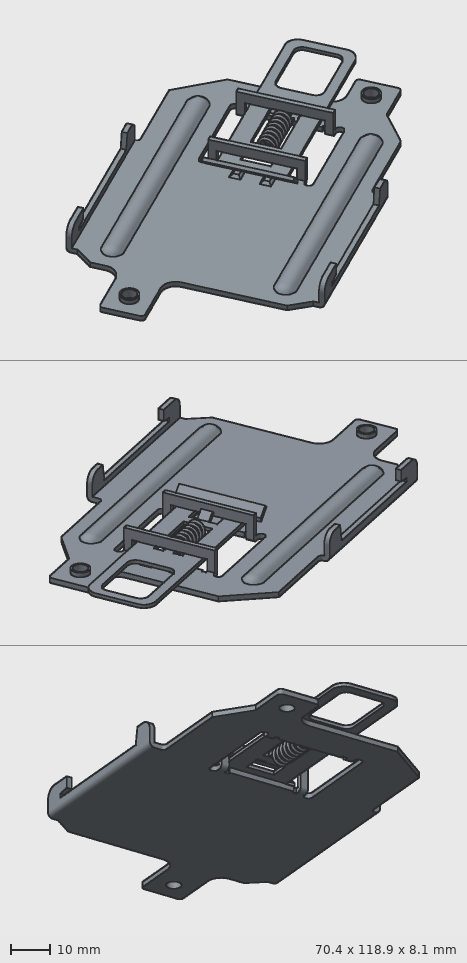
import cadquery as cq
import math

overall_length = 118.9
overall_width = 70.4
overall_height = 8.1
sheet = 1.5

plate_left = -32.5
plate_right = 30.7
plate_bottom = 16.8
plate_top = 100.6
top_chamfer_y = 91.3
top_chamfer_left_x = -19.9
bottom_chamfer_left_x = -27.2
bottom_chamfer_right_x = 26.4

flange_start = 20.7
flange_end = 68.7
flange_corner_radius = 3.1
flange_rail_height = 3.2
flange_shoulder_radius = 1.1
hook_tip_y = 29.6
hook_root_y = 26.5
hook_tip_z = 4.8
hook_root_z = 4.3
stop_top_y = 62.9
stop_root_y = 62.0

tab_width = 12.2
lower_tab_x = -12.7
upper_tab_x = 17.4
upper_tab_end = 112.0
tab_hole_inset = 6.1
tab_corner_radius = 1.1
tab_root_radius = 4.2
boss_diameter = 5.1
boss_hole_diameter = 4.0
boss_height = 1.3

rib_x = 23.5
rib_width = 6.2
rib_height = 1.5
rib_crest_width = 0.4
rib_flank_angle = 40
rib_start = 20.7
rib_end = 91.3

strap_width = 26.4
strap_thickness = 1.4
strap_leg = 2.3
strap_bar_bottom = 5.0
strap_bend_radius = 1.2
window_front = 67.3
window_back = 90.0
relief_width = 2.4
relief_overrun = 1.5
notch_width = 1.2
notch_depth = 0.6

bump_x = 4.2
bump_width = 3.1
bump_length = 4.0
bump_height = 0.7
bump_gap = 1.1

latch_width = 19.1
latch_thickness = 1.1
latch_bottom = 3.6
latch_front = 63.6
latch_corner_radius = 3.6
finger_hole_width = 13.3
finger_hole_start = 98.1
finger_hole_end = 116.1
finger_hole_radius = 2.4
slot_width = 8.3
spring_slot_start = 74.3
spring_slot_end = 90.6
tongue_slot_start = 66.5
tongue_slot_end = 71.6
prong_width = 2.9
prong_length = 7.5
tongue_width = 3.3
tongue_rise = 2.0
lip_width = 25.0
lip_rise = 2.5
bend_angle = 45

spring_outer_diameter = 5.5
wire_diameter = 0.8
spring_turns = 8
spring_axis_z = 3.7

latch_top = latch_bottom + latch_thickness


def box(x0, x1, y0, y1, z0, z1):
    """Axis-aligned block between two opposite corners."""
    return cq.Workplane("XY").box(x1 - x0, y1 - y0, z1 - z0, centered=False).translate((x0, y0, z0))


def mounting_tab(x, y0, y1, rounded_end):
    """Flat ear whose free end has rounded corners."""
    tab = box(x - tab_width / 2, x + tab_width / 2, y0, y1, 0, sheet)
    return tab.edges("|Z").edges(rounded_end).fillet(tab_corner_radius)


def tab_root_fillet(x, y, side_x, side_y):
    """Concave fillet where a tab side (at x) meets a plate edge (at y)."""
    r = tab_root_radius
    middle = r * (1 - math.sqrt(0.5))
    return (
        cq.Workplane("XY")
        .moveTo(x, y)
        .lineTo(x + side_x * r, y)
        .threePointArc((x + side_x * middle, y + side_y * middle), (x, y + side_y * r))
        .close()
        .extrude(sheet)
    )


def flat_plate():
    """Flat sheet with its chamfered outline and the two mounting tabs."""
    half = overall_width / 2
    upper_tab_right = upper_tab_x + tab_width / 2
    outline = [
        (bottom_chamfer_left_x, plate_bottom),
        (bottom_chamfer_right_x, plate_bottom),
        (half - 2 * sheet, flange_start),
        (half - sheet, flange_start),
        (half - sheet, flange_end),
        (plate_right, flange_end),
        (plate_right, top_chamfer_y),
        (upper_tab_right, plate_top),
        (top_chamfer_left_x, plate_top),
        (plate_left, top_chamfer_y),
        (plate_left, flange_end),
        (sheet - half, flange_end),
        (sheet - half, flange_start),
        (2 * sheet - half, flange_start),
    ]
    plate = cq.Workplane("XY").polyline(outline).close().extrude(sheet)
    for x in (plate_left, plate_right):
        corner = cq.selectors.NearestToPointSelector((x, flange_end, sheet / 2))
        plate = plate.edges("|Z").edges(corner).fillet(flange_shoulder_radius)
    plate = plate.union(mounting_tab(lower_tab_x, 0, plate_bottom, "<Y"))
    plate = plate.union(mounting_tab(upper_tab_x, top_chamfer_y, upper_tab_end, ">Y"))
    for side in (-1, 1):
        plate = plate.union(tab_root_fillet(lower_tab_x + side * tab_width / 2, plate_bottom, side, -1))
    return plate.union(tab_root_fillet(upper_tab_x - tab_width / 2, plate_top, -1, 1))


def side_flange(side):
    """Upright flange with a hook at one end and a stop at the other; the bend is rounded outside."""
    outer = overall_width / 2
    profile = [
        (flange_start, 0),
        (flange_end, 0),
        (flange_end, overall_height),
        (stop_top_y, overall_height),
        (stop_root_y, flange_rail_height),
        (hook_root_y, flange_rail_height),
        (hook_root_y, hook_root_z),
        (hook_tip_y, hook_tip_z),
        (hook_tip_y, overall_height),
        (flange_start, overall_height),
    ]
    flange = cq.Workplane("YZ").polyline(profile).close().extrude(sheet).translate((outer - sheet, 0, 0))
    for y in (flange_start, flange_end):
        corner = cq.selectors.NearestToPointSelector((outer - sheet / 2, y, overall_height))
        flange = flange.edges("|X").edges(corner).fillet(flange_corner_radius)
    flange = flange.edges("|Y and >X and <Z").fillet(sheet * 0.98)
    return flange if side > 0 else flange.mirror("YZ")


def rib_section():
    """Rib section standing on Z = 0: sloping flanks, tangent shoulders and a narrow flat crest."""
    half = rib_width / 2
    crest = rib_crest_width / 2
    top = sheet + rib_height
    slope = math.radians(rib_flank_angle)
    shoulder_x = (half * math.tan(slope) - crest * math.tan(slope / 2) - rib_height) / (
        math.tan(slope) - math.tan(slope / 2)
    )
    shoulder_z = sheet + (half - shoulder_x) * math.tan(slope)
    radius = (shoulder_x - crest) / math.sin(slope)
    middle_x = crest + radius * math.sin(slope / 2)
    middle_z = top - radius * (1 - math.cos(slope / 2))
    return (
        cq.Workplane("XZ")
        .moveTo(-half, 0)
        .lineTo(-half, sheet)
        .lineTo(-shoulder_x, shoulder_z)
        .threePointArc((-middle_x, middle_z), (-crest, top))
        .lineTo(crest, top)
        .threePointArc((middle_x, middle_z), (shoulder_x, shoulder_z))
        .lineTo(half, sheet)
        .lineTo(half, 0)
        .close()
    )


def rib(x):
    """Raised rib whose ends roll down into the plate about an axis on the underside."""
    crest_radius = sheet + rib_height
    end_length = math.sqrt(crest_radius**2 - sheet**2)
    straight = rib_end - rib_start - 2 * end_length
    bar = rib_section().extrude(-straight)
    back_end = rib_section().revolve(90, (1.2, 0, 0), (0, 0, 0)).translate((0, straight, 0))
    front_end = rib_section().revolve(90, (0, 0, 0), (1, 0, 0))
    return bar.union(back_end).union(front_end).translate((x, rib_start + end_length, 0))


def window_cut():
    """Opening between the straps, with rounded relief lobes outside the legs and notches inside."""
    half = strap_width / 2
    cut = box(-half, half, window_front, window_back, 0, sheet)
    lobe_length = window_back - window_front + 2 * relief_overrun
    middle = (window_front + window_back) / 2
    for side in (-1, 1):
        lobe = (
            cq.Workplane("XY")
            .center(side * (half + relief_width / 2), middle)
            .slot2D(lobe_length, relief_width, 90)
            .extrude(sheet)
        )
        notch_x = side * (half - strap_leg - notch_width / 2)
        notch = (
            cq.Workplane("XY")
            .center(notch_x, middle)
            .rect(notch_width, window_back - window_front + 2 * notch_depth)
            .extrude(sheet)
        )
        cut = cut.union(lobe).union(notch)
    return cut


def strap(y0, y1, bend_side):
    """Upright portal; its legs bend into the plate, rounded on the window side."""
    half = strap_width / 2
    portal = box(-half, half, y0, y1, 0, overall_height)
    portal = portal.edges("|X and <Z").edges(bend_side).fillet(strap_bend_radius)
    return portal.cut(box(strap_leg - half, half - strap_leg, y0, y1, 0, strap_bar_bottom))


def bump(x, y):
    """Low bump that tapers to half its base size."""
    return (
        cq.Workplane("XY", origin=(x, y, sheet))
        .rect(bump_width, bump_length)
        .workplane(offset=bump_height)
        .rect(bump_width / 2, bump_length / 2)
        .loft()
    )


def make_base_plate():
    plate = flat_plate()
    for side in (-1, 1):
        plate = plate.union(side_flange(side))
        plate = plate.union(rib(side * rib_x))
    plate = plate.cut(window_cut())
    plate = plate.union(strap(window_front, window_front + strap_thickness, ">Y"))
    plate = plate.union(strap(window_back - strap_thickness, window_back, "<Y"))
    bump_offset = bump_gap + bump_length / 2
    for x in (-bump_x, bump_x):
        for y in (window_front - bump_offset, window_back + bump_offset):
            plate = plate.union(bump(x, y))
    for x, y in ((lower_tab_x, tab_hole_inset), (upper_tab_x, upper_tab_end - tab_hole_inset)):
        boss = cq.Workplane("XY", origin=(x, y, sheet)).circle(boss_diameter / 2).extrude(boss_height)
        hole = cq.Workplane("XY", origin=(x, y, 0)).circle(boss_hole_diameter / 2).extrude(sheet + boss_height)
        plate = plate.union(boss).cut(hole)
    return plate


def bent_strip(width, hinge_y, rise):
    """Strip bent upward toward -Y from a hinge line on the latch."""
    angle = math.radians(bend_angle)
    run = rise / math.tan(angle)
    drop_y = latch_thickness * math.sin(angle)
    drop_z = latch_thickness * math.cos(angle)
    profile = [
        (hinge_y, latch_top),
        (hinge_y - run, latch_top + rise),
        (hinge_y - run - drop_y, latch_top + rise - drop_z),
        (hinge_y - latch_thickness * math.tan(angle / 2), latch_bottom),
        (hinge_y, latch_bottom),
    ]
    return cq.Workplane("YZ").polyline(profile).close().extrude(width / 2, both=True)


def make_latch():
    half = latch_width / 2
    latch = box(-half, half, latch_front, overall_length, latch_bottom, latch_top)
    latch = latch.edges("|Z and >Y").fillet(latch_corner_radius)

    finger_half = finger_hole_width / 2
    finger_hole = box(-finger_half, finger_half, finger_hole_start, finger_hole_end, latch_bottom, latch_top)
    latch = latch.cut(finger_hole.edges("|Z").fillet(finger_hole_radius))

    slot_half = slot_width / 2
    for start, end in ((spring_slot_start, spring_slot_end), (tongue_slot_start, tongue_slot_end)):
        latch = latch.cut(box(-slot_half, slot_half, start, end, latch_bottom, latch_top))

    prong_half = prong_width / 2
    prong_tip = spring_slot_end - prong_length
    latch = latch.union(box(-prong_half, prong_half, prong_tip, spring_slot_end, latch_bottom, latch_top))
    latch = latch.union(bent_strip(tongue_width, tongue_slot_end, tongue_rise))
    return latch.union(bent_strip(lip_width, latch_front, lip_rise))


def make_spring():
    """Left-hand helix along Y between the back strap and the end of the spring slot."""
    wire_radius = wire_diameter / 2
    coil_radius = spring_outer_diameter / 2 - wire_radius
    space = window_back - strap_thickness - spring_slot_start
    travel = space - wire_diameter
    helix = cq.Wire.makeHelix(travel / spring_turns, travel, coil_radius, lefthand=True)
    coil = (
        cq.Workplane("XZ", origin=(coil_radius, 0, 0))
        .circle(wire_radius)
        .sweep(cq.Workplane(helix), isFrenet=True)
    )
    coil = coil.rotate((0, 0, 0), (1, 0, 0), -90)
    return coil.translate((0, spring_slot_start + wire_radius, spring_axis_z))


base_plate = make_base_plate()
latch = make_latch()
spring = make_spring()

result = cq.Compound.makeCompound([base_plate.val(), latch.val(), spring.val()])